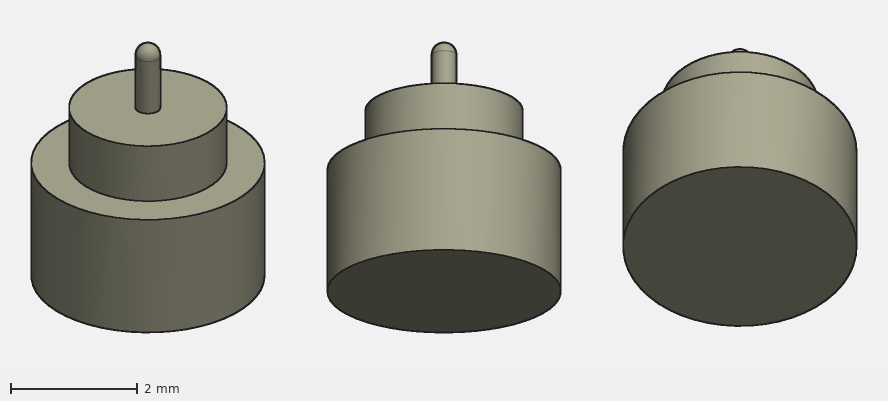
import cadquery as cq

total_height = 4.2
base_diameter = 3.7
base_height = 2.05
collar_diameter = 2.5
collar_height = 1.0
pin_diameter = 0.4

collar_top = base_height + collar_height
pin_radius = pin_diameter / 2
pin_shoulder = total_height - pin_radius


def cylinder(diameter, bottom, top):
    """Upright cylinder on the Z axis between two levels."""
    return cq.Workplane("XY").workplane(offset=bottom).circle(diameter / 2).extrude(top - bottom)


base = cylinder(base_diameter, 0, base_height)
collar = cylinder(collar_diameter, base_height, collar_top)

pin_shank = cylinder(pin_diameter, collar_top, pin_shoulder)
pin_tip = (
    cq.Workplane("XZ")
    .moveTo(0, pin_shoulder)
    .lineTo(pin_radius, pin_shoulder)
    .radiusArc((0, total_height), -pin_radius)
    .close()
    .revolve(360, (0, 0, 0), (0, 1, 0))
)

result = base.union(collar).union(pin_shank).union(pin_tip)